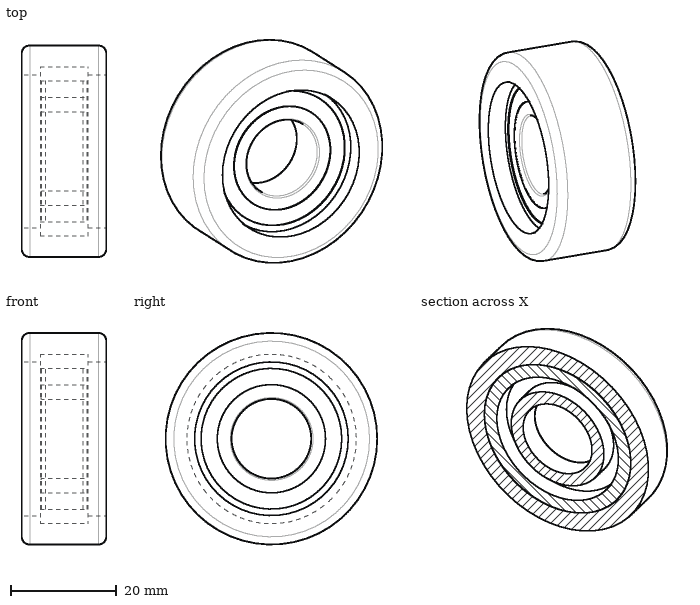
import cadquery as cq


tyre_diameter = 40.0
tyre_width = 16.0
tyre_edge_radius = 1.5
lip_diameter = 29.0

bearing_diameter = 32.0
bearing_width = 9.0
bore_diameter = 15.0
bore_edge_radius = 0.3
ring_thickness = 2.7
outer_ring_inner_diameter = bearing_diameter - 2 * ring_thickness
inner_ring_outer_diameter = bore_diameter + 2 * ring_thickness

shield_thickness = 0.8
shield_setback = 0.2


def disc(diameter, width, centre_x=0.0):
    """Solid disc on the X axis, centred at centre_x."""
    return cq.Workplane("YZ", origin=(centre_x - width / 2, 0, 0)).circle(diameter / 2).extrude(width)


def annulus(outer_diameter, inner_diameter, width, centre_x=0.0):
    """Plain ring around the X axis, centred at centre_x."""
    return disc(outer_diameter, width, centre_x).cut(disc(inner_diameter, width, centre_x))


def make_tyre():
    """Tyre with rounded outer edges and an internal seat for the bearing."""
    blank = disc(tyre_diameter, tyre_width).edges("%CIRCLE").fillet(tyre_edge_radius)
    lip_opening = disc(lip_diameter, tyre_width)
    bearing_seat = disc(bearing_diameter, bearing_width)
    return blank.cut(lip_opening).cut(bearing_seat)


def make_outer_ring():
    """Plain outer ring, held between the tyre lips."""
    return annulus(bearing_diameter, outer_ring_inner_diameter, bearing_width)


def make_inner_ring():
    """Inner ring with rounded edges at both ends of the bore."""
    ring = annulus(inner_ring_outer_diameter, bore_diameter, bearing_width)
    bore_edges = ring.edges(cq.selectors.RadiusNthSelector(0))
    return bore_edges.fillet(bore_edge_radius)


def make_shield(side):
    """Shield closing the gap between the rings; side is -1 or +1 along X."""
    centre_x = side * (bearing_width / 2 - shield_setback - shield_thickness / 2)
    return annulus(outer_ring_inner_diameter, inner_ring_outer_diameter, shield_thickness, centre_x)


tyre = make_tyre()
outer_ring = make_outer_ring()
inner_ring = make_inner_ring()
shields = [make_shield(side).val() for side in (-1, 1)]

result = cq.Compound.makeCompound([tyre.val(), outer_ring.val(), inner_ring.val(), *shields])